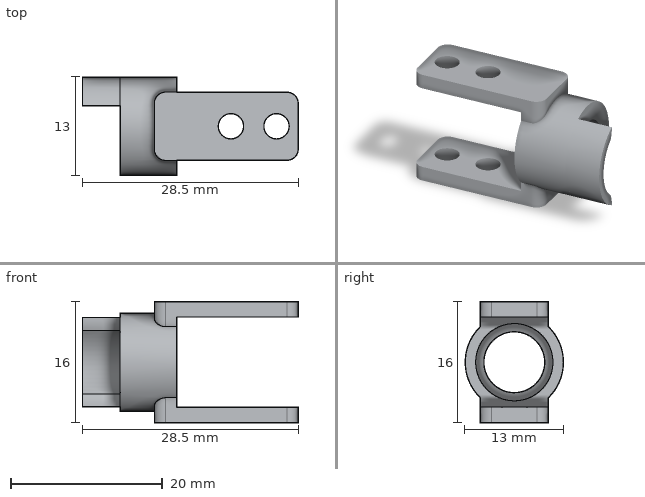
import cadquery as cq
import math

total_length = 28.5
total_height = 16.0
barrel_diameter = 13.0
barrel_start = 5.0
barrel_length = 7.5
barrel_end = barrel_start + barrel_length

bore_diameter = 8.0
counterbore_diameter = 10.2
bore_lip_length = 1.5

arm_start = 9.5
arm_width = 9.0
arm_thickness = 2.05
arm_corner_radius = 1.48
hole_diameter = 3.3
hole_spacing = 6.0
outer_hole_to_tip = 2.88
outer_hole_x = total_length - outer_hole_to_tip
hole_positions = [(outer_hole_x - hole_spacing, 0), (outer_hole_x, 0)]

tongue_inner_radius = 5.2
tongue_edge_y = 2.7
tongue_inner_y = 3.08
tongue_end_bulge = 0.1


def x_cylinder(diameter, start, length):
    """Cylinder along X, centred on the barrel axis."""
    return cq.Workplane("YZ", origin=(start, 0, 0)).circle(diameter / 2).extrude(length)


def make_housing():
    """Barrel with a two-armed fork and a stepped bore."""
    arm_length = total_length - arm_start
    fork = (
        cq.Workplane("XY")
        .box(arm_length, arm_width, total_height)
        .edges("|Z")
        .fillet(arm_corner_radius)
        .translate((arm_start + arm_length / 2, 0, 0))
    )
    gap_length = total_length - barrel_end
    gap = (
        cq.Workplane("XY")
        .box(gap_length, arm_width, total_height - 2 * arm_thickness)
        .translate((barrel_end + gap_length / 2, 0, 0))
    )
    arm_holes = (
        cq.Workplane("XY", origin=(0, 0, -total_height / 2))
        .pushPoints(hole_positions)
        .circle(hole_diameter / 2)
        .extrude(total_height)
    )
    barrel = x_cylinder(barrel_diameter, barrel_start, barrel_length)
    bore = x_cylinder(bore_diameter, barrel_start, barrel_length)
    counterbore = x_cylinder(
        counterbore_diameter, barrel_start + bore_lip_length, barrel_length - bore_lip_length
    )
    return fork.cut(gap).cut(arm_holes).union(barrel).cut(bore).cut(counterbore)


def make_tongue():
    """Arc-shaped tongue on the +Y side, with rounded ends."""
    outer_radius = barrel_diameter / 2
    outer_z = math.sqrt(outer_radius**2 - tongue_edge_y**2)
    inner_z = math.sqrt(tongue_inner_radius**2 - tongue_inner_y**2)

    chord_y = tongue_inner_y - tongue_edge_y
    chord_z = outer_z - inner_z
    chord = math.hypot(chord_y, chord_z)
    bulge_y = (tongue_inner_y + tongue_edge_y) / 2 - tongue_end_bulge * chord_z / chord
    bulge_z = (inner_z + outer_z) / 2 + tongue_end_bulge * chord_y / chord

    return (
        cq.Workplane("YZ")
        .moveTo(tongue_edge_y, -outer_z)
        .threePointArc((outer_radius, 0), (tongue_edge_y, outer_z))
        .threePointArc((bulge_y, bulge_z), (tongue_inner_y, inner_z))
        .threePointArc((tongue_inner_radius, 0), (tongue_inner_y, -inner_z))
        .threePointArc((bulge_y, -bulge_z), (tongue_edge_y, -outer_z))
        .close()
        .extrude(barrel_start)
    )


housing = make_housing()
tongue = make_tongue()
result = cq.Compound.makeCompound([housing.val(), tongue.val()])